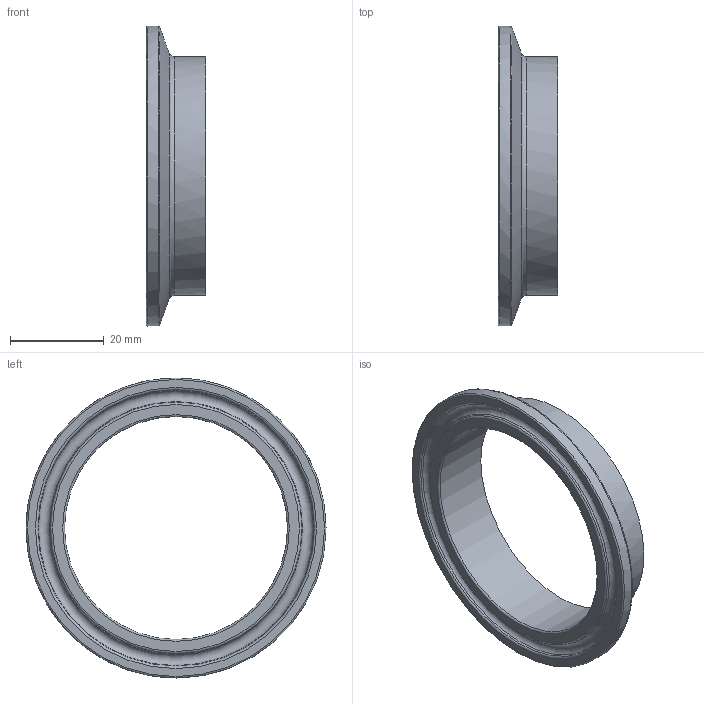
import cadquery as cq
import math

length = 12.7
flange_diameter = 63.91
tube_diameter = 50.8
bore_diameter = 47.5

rim_width = 2.8
cone_angle = 20.0
neck_fillet = 1.2
rim_fillet = 0.4
face_fillet = 0.3
bore_fillet = 0.4

groove_diameter = 56.26
groove_depth = 1.5875
groove_radius = 1.27
groove_wall_angle = 70.0
groove_lip_fillet = 0.5

flange_radius = flange_diameter / 2
tube_radius = tube_diameter / 2
bore_radius = bore_diameter / 2
cone_length = (flange_radius - tube_radius) * math.tan(math.radians(cone_angle))
neck_x = rim_width + cone_length


def revolve_about_x(profile):
    return profile.revolve(360, (0, 0, 0), (1, 0, 0))


def circle_edges_at(x, radius):
    """Selector for the circular edge of the given radius centred on the X axis at x."""
    tolerance = 0.05
    reach = radius + tolerance
    inner = radius - tolerance
    outer_box = cq.selectors.BoxSelector(
        (x - tolerance, -reach, -reach), (x + tolerance, reach, reach), boundingbox=True
    )
    inner_box = cq.selectors.BoxSelector(
        (x - tolerance, -inner, -inner), (x + tolerance, inner, inner), boundingbox=True
    )
    return outer_box - inner_box


def make_body():
    """Tube with a clamp flange whose back face is a cone."""
    profile = (
        cq.Workplane("XY")
        .moveTo(0, bore_radius)
        .lineTo(0, flange_radius)
        .lineTo(rim_width, flange_radius)
        .lineTo(neck_x, tube_radius)
        .lineTo(length, tube_radius)
        .lineTo(length, bore_radius)
        .close()
    )
    return revolve_about_x(profile)


def round_body_edges(body):
    body = body.edges(circle_edges_at(neck_x, tube_radius)).fillet(neck_fillet)
    body = body.edges(circle_edges_at(rim_width, flange_radius)).fillet(rim_fillet)
    body = body.edges(circle_edges_at(0, flange_radius)).fillet(face_fillet)
    return body.edges(circle_edges_at(0, bore_radius)).fillet(bore_fillet)


def cut_gasket_groove(body):
    """Ring groove in the flange face: round bottom, sloped walls tangent to it, rounded lips."""
    center_r = groove_diameter / 2
    wall_angle = math.radians(groove_wall_angle)
    wall_foot_x = groove_depth - groove_radius * (1 - math.cos(wall_angle))
    foot_half_width = groove_radius * math.sin(wall_angle)
    mouth_half_width = foot_half_width + wall_foot_x / math.tan(wall_angle)
    groove_profile = (
        cq.Workplane("XY")
        .moveTo(0, center_r - mouth_half_width)
        .lineTo(wall_foot_x, center_r - foot_half_width)
        .threePointArc((groove_depth, center_r), (wall_foot_x, center_r + foot_half_width))
        .lineTo(0, center_r + mouth_half_width)
        .close()
    )
    groove = revolve_about_x(groove_profile)
    body = body.cut(groove)
    for side in (-1, 1):
        lip_radius = center_r + side * mouth_half_width
        body = body.edges(circle_edges_at(0, lip_radius)).fillet(groove_lip_fillet)
    return body


result = cut_gasket_groove(round_body_edges(make_body()))